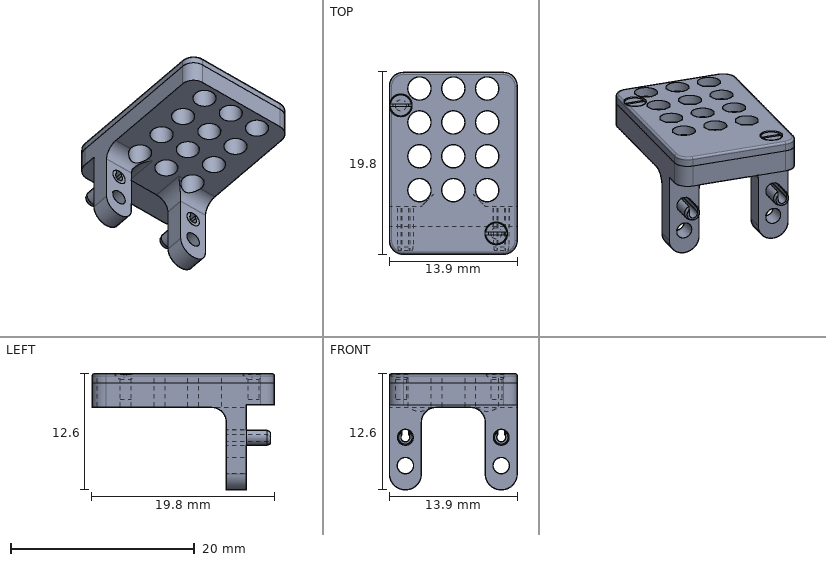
import cadquery as cq
import math


width = 13.92
length = 19.81
total_height = 12.64
corner_radius = 1.52
front_y = -length / 2
back_y = length / 2

cover_thickness = 1.02
cover_edge_radius = 0.25

slab_thickness = 2.38
step_depth = 0.27
leg_bottom_z = cover_thickness - total_height
leg_front_y = front_y + 3.05
leg_thickness = 2.19
leg_width = 3.5
leg_x = (width - leg_width) / 2
leg_back_radius = 1.6
leg_gap_radius = 1.6
leg_hole_diameter = 1.75
leg_hole_z = leg_bottom_z + 2.65

grid_diameter = 2.5
grid_pitch = 3.683
grid_columns = 3
grid_rows = 4
grid_back_margin = 1.77

pin_diameter = 1.73
pin_bore_diameter = 0.95
pin_slot_width = 0.7
pin_z = leg_bottom_z + 5.72
pin_front_y = front_y + 0.41
pin_taper_length = 0.41
pin_taper_depth = 0.14

countersink_diameter = 2.48
countersink_angle = 90
head_recess = 0.1
shank_diameter = 1.2
screw_tip_depth = 2.8
driver_slot_width = 0.3
driver_slot_floor = 0.4
screw_places = [
    (-width / 2 + 1.25, back_y - 3.6),
    (width / 2 - 2.29, front_y + 2.29),
]


def rounded_plate(bottom_z, thickness):
    plate = cq.Workplane("XY").workplane(offset=bottom_z).rect(width, length).extrude(thickness)
    return plate.edges("|Z").fillet(corner_radius)


def rod_along_y(diameter, x, z, start_y, end_y):
    section = cq.Workplane("XZ", origin=(x, start_y, z)).circle(diameter / 2)
    return section.extrude(start_y - end_y)


def grid_holes():
    """Cutters for the hole grid, long enough to also open the rounded corners behind the legs."""
    grid_y = back_y - grid_back_margin - (grid_rows - 1) * grid_pitch / 2
    holes = cq.Workplane("XY", origin=(0, grid_y, leg_bottom_z))
    holes = holes.rarray(grid_pitch, grid_pitch, grid_columns, grid_rows)
    return holes.circle(grid_diameter / 2).extrude(total_height)


def screw_blank(x, y):
    """Cone and shank of a screw up to the top of the cover; also the shape of its hole."""
    head_radius = countersink_diameter / 2
    shank_radius = shank_diameter / 2
    cone_depth = (head_radius - shank_radius) / math.tan(math.radians(countersink_angle / 2))
    half_profile = [
        (0, 0),
        (head_radius, 0),
        (shank_radius, -cone_depth),
        (shank_radius, -screw_tip_depth),
        (0, -screw_tip_depth),
    ]
    profile = cq.Workplane("XZ", origin=(x, y, cover_thickness)).polyline(half_profile).close()
    return profile.revolve(360, (0, 0), (0, 1))


def cut_shared_holes(body):
    """Cut the hole grid and the screw holes, which run through the joint."""
    body = body.cut(grid_holes())
    for x, y in screw_places:
        body = body.cut(screw_blank(x, y))
    return body


def make_cover():
    cover = rounded_plate(0, cover_thickness)
    cover = cover.faces(">Z").edges().fillet(cover_edge_radius)
    return cut_shared_holes(cover)


def leg_side_profile():
    """Side shape of the thick slab and the legs, extruded over the full width."""
    under_z = -slab_thickness - step_depth
    leg_back_y = leg_front_y + leg_thickness
    side = (
        cq.Workplane("YZ", origin=(-width / 2, 0, 0))
        .moveTo(leg_front_y, 0)
        .lineTo(leg_front_y, leg_bottom_z)
        .lineTo(leg_back_y, leg_bottom_z)
        .lineTo(leg_back_y, under_z - leg_back_radius)
        .radiusArc((leg_back_y + leg_back_radius, under_z), leg_back_radius)
        .lineTo(back_y, under_z)
        .lineTo(back_y, 0)
        .close()
    )
    return side.extrude(width)


def leg_front_profile():
    """Front shape of the slab and the two round-ended legs, extruded over the full length."""
    under_z = -slab_thickness - step_depth
    outer_x = width / 2
    inner_x = outer_x - leg_width
    round_z = leg_bottom_z + leg_width / 2
    shoulder_z = under_z - leg_gap_radius
    gap_flat_x = inner_x - leg_gap_radius
    front = (
        cq.Workplane("XZ", origin=(0, back_y, 0))
        .moveTo(-outer_x, 0)
        .lineTo(-outer_x, round_z)
        .threePointArc((-leg_x, leg_bottom_z), (-inner_x, round_z))
        .lineTo(-inner_x, shoulder_z)
        .radiusArc((-gap_flat_x, under_z), leg_gap_radius)
        .lineTo(gap_flat_x, under_z)
        .radiusArc((inner_x, shoulder_z), leg_gap_radius)
        .lineTo(inner_x, round_z)
        .threePointArc((leg_x, leg_bottom_z), (outer_x, round_z))
        .lineTo(outer_x, 0)
        .close()
    )
    return front.extrude(length)


def make_bracket():
    legs = leg_side_profile().intersect(leg_front_profile())
    legs = legs.intersect(rounded_plate(leg_bottom_z, -leg_bottom_z))
    bracket = rounded_plate(-slab_thickness, slab_thickness).union(legs)
    leg_back_y = leg_front_y + leg_thickness
    for x in (-leg_x, leg_x):
        bracket = bracket.cut(rod_along_y(leg_hole_diameter, x, leg_hole_z, leg_front_y, leg_back_y))
        bracket = bracket.cut(rod_along_y(pin_diameter, x, pin_z, leg_front_y, leg_back_y))
    return cut_shared_holes(bracket)


def make_pin(x):
    """Tube with a tapered front end and a flared slot along its top, flush with the leg back."""
    leg_back_y = leg_front_y + leg_thickness
    pin = rod_along_y(pin_diameter, x, pin_z, pin_front_y, leg_back_y)
    pin = pin.faces("<Y").chamfer(pin_taper_length, pin_taper_depth)
    pin = pin.cut(rod_along_y(pin_bore_diameter, x, pin_z, pin_front_y, leg_back_y))
    half_slot = pin_slot_width / 2
    half_mouth = pin_bore_diameter / 2
    flare_y = pin_front_y + pin_taper_length
    slot_outline = [
        (-half_mouth, pin_front_y),
        (half_mouth, pin_front_y),
        (half_slot, flare_y),
        (half_slot, leg_back_y),
        (-half_slot, leg_back_y),
        (-half_slot, flare_y),
    ]
    slot = cq.Workplane("XY", origin=(x, 0, pin_z)).polyline(slot_outline).close()
    return pin.cut(slot.extrude(pin_diameter))


def make_screw(x, y):
    """Flat-head screw sitting just below the top of the cover, driver slot along X."""
    head_top_z = cover_thickness - head_recess
    above_head = cq.Workplane("XY", origin=(x, y, head_top_z))
    above_head = above_head.rect(countersink_diameter, countersink_diameter).extrude(head_recess)
    slot = cq.Workplane("XY", origin=(x, y, cover_thickness))
    slot = slot.rect(countersink_diameter, driver_slot_width).extrude(-driver_slot_floor)
    return screw_blank(x, y).cut(above_head).cut(slot)


bracket = make_bracket()
cover = make_cover()
pins = [make_pin(x) for x in (-leg_x, leg_x)]
screws = [make_screw(x, y) for x, y in screw_places]

result = cq.Compound.makeCompound([
    bracket.val(),
    cover.val(),
    *[pin.val() for pin in pins],
    *[screw.val() for screw in screws],
])